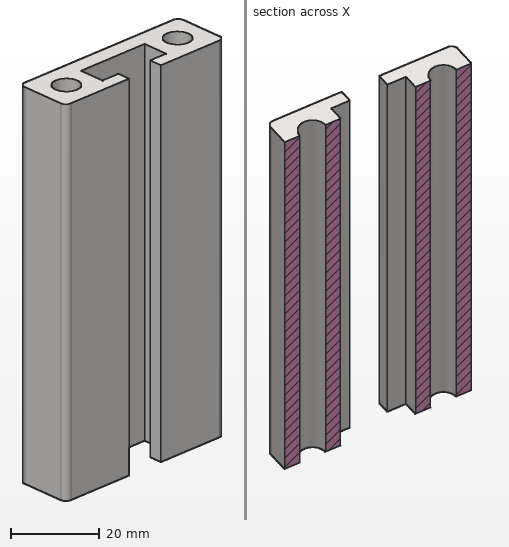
import cadquery as cq

thickness = 15.0
width = 50.0
length = 100.0
corner_radius = 1.6

hole_diameter = 6.8
hole_spacing = 35.0

lip_thickness = 3.5
slot_depth = 10.5
slot_width = 20.0
mouth_width = 10.0

open_face_x = thickness / 2


def make_bar():
    """Solid bar with rounded lengthwise edges."""
    bar = cq.Workplane("XY").rect(thickness, width).extrude(length)
    return bar.edges("|Z").fillet(corner_radius)


def make_holes():
    """Pair of through holes running along the bar."""
    centers = [(0, -hole_spacing / 2), (0, hole_spacing / 2)]
    return cq.Workplane("XY").pushPoints(centers).circle(hole_diameter / 2).extrude(length)


def make_t_slot():
    """T-shaped channel: a wide cavity behind a narrow mouth."""
    cavity_depth = slot_depth - lip_thickness
    cavity_center_x = open_face_x - lip_thickness - cavity_depth / 2
    mouth_center_x = open_face_x - slot_depth / 2
    cavity = cq.Workplane("XY").center(cavity_center_x, 0).rect(cavity_depth, slot_width).extrude(length)
    mouth = cq.Workplane("XY").center(mouth_center_x, 0).rect(slot_depth, mouth_width).extrude(length)
    return cavity.union(mouth)


result = make_bar().cut(make_holes()).cut(make_t_slot())